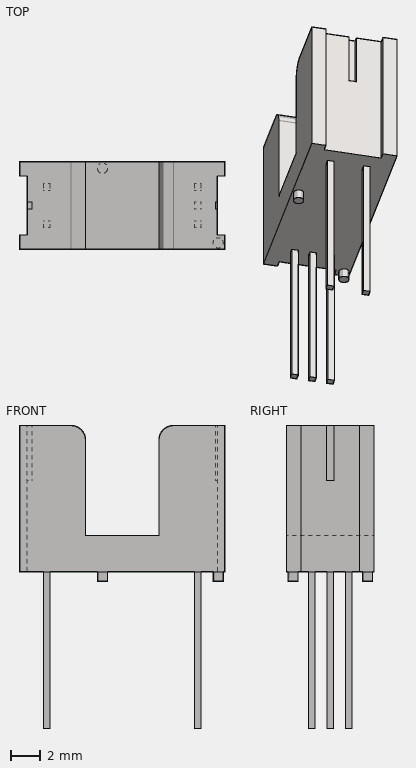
import cadquery as cq

body_length = 14.0
body_width = 6.0
body_height = 10.0
gap_width = 5.0
gap_floor_height = 2.5
gap_edge_radius = 1.0

recess_depth = 0.5
recess_width = 4.0

groove_width = 0.5
groove_height = 3.75
left_groove_depth = 0.35
right_groove_depth = 0.15

total_height = 20.7
lead_length = total_height - body_height
lead_row_spacing = 10.3
lead_pitch = 1.27
lead_side = 0.46

pin_diameter = 0.7
pin_length = 0.65
pin_offset_y = 2.55
inner_pin_x = -1.35
end_pin_x = 6.55


def block(length, width, height, x, y, bottom):
    """Box centred on (x, y) with its lower face at the given height."""
    box = cq.Workplane("XY").box(length, width, height, centered=(True, True, False))
    return box.translate((x, y, bottom))


def make_housing():
    housing = block(body_length, body_width, body_height, 0, 0, 0)
    gap_height = body_height - gap_floor_height
    housing = housing.cut(block(gap_width, body_width, gap_height, 0, 0, gap_floor_height))
    for side in (-1, 1):
        edge_point = (side * gap_width / 2, 0, body_height)
        housing = housing.edges(cq.NearestToPointSelector(edge_point)).fillet(gap_edge_radius)
    return housing


def cut_end_face(housing, side, groove_depth):
    """Cut the recess and its groove into the end face at side = -1 or +1."""
    recess_x = side * (body_length - recess_depth) / 2
    recess = block(recess_depth, recess_width, body_height, recess_x, 0, 0)
    recess_face_x = body_length / 2 - recess_depth
    groove_x = side * (recess_face_x - groove_depth / 2)
    groove_bottom = body_height - groove_height
    groove = block(groove_depth, groove_width, groove_height, groove_x, 0, groove_bottom)
    return housing.cut(recess).cut(groove)


def make_lead(x, y):
    return block(lead_side, lead_side, lead_length, x, y, -lead_length)


def make_pin(x, y):
    return cq.Workplane("XY").center(x, y).circle(pin_diameter / 2).extrude(-pin_length)


part = make_housing()
part = cut_end_face(part, -1, left_groove_depth)
part = cut_end_face(part, 1, right_groove_depth)

lead_row_x = lead_row_spacing / 2
for row_x in (-lead_row_x, lead_row_x):
    for lead_y in (-lead_pitch, lead_pitch):
        part = part.union(make_lead(row_x, lead_y))
part = part.union(make_lead(lead_row_x, 0))

part = part.union(make_pin(inner_pin_x, pin_offset_y))
result = part.union(make_pin(end_pin_x, -pin_offset_y))